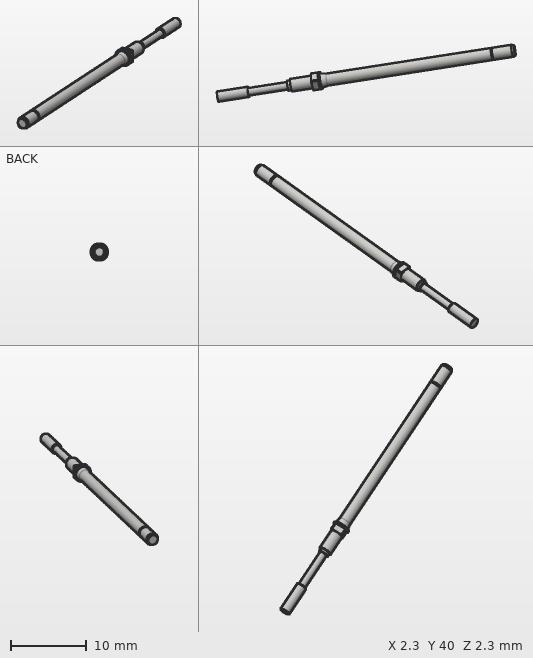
import cadquery as cq

length = 40.0

tip_dia = 1.4
neck_dia = 1.05
collar_dia = 1.35
body_dia = 1.7
flange_dia = 2.3
taper_dia = 1.9
tube_dia = 1.65
groove_dia = 1.55
tube_end_dia = 1.35

tip_end = 4.1
neck_end = 9.45
collar_end = 9.9
body_end = 12.7
square_end = 13.7
flange_end = 13.9
taper_end = 14.7
groove_start = 36.9
groove_width = 0.15
chamfer_start = 39.7

square_size = 1.7
corner_dia = 2.3


def round_section(start, end, start_dia, end_dia):
    """Cylinder or cone on the Y axis, placed by distances from the tip end."""
    y_start = length / 2 - start
    y_end = length / 2 - end
    profile = [(0, y_start), (start_dia / 2, y_start), (end_dia / 2, y_end), (0, y_end)]
    return cq.Workplane("XY").polyline(profile).close().revolve(360, (0, 0, 0), (0, 1, 0))


def square_section(start, end):
    """Square prism on the Y axis whose corners are turned to a round."""
    square = cq.Workplane("XY").box(square_size, end - start, square_size)
    square = square.translate((0, length / 2 - (start + end) / 2, 0))
    return square.intersect(round_section(start, end, corner_dia, corner_dia))


groove_end = groove_start + groove_width

round_sections = [
    (0, tip_end, tip_dia, tip_dia),
    (tip_end, neck_end, neck_dia, neck_dia),
    (neck_end, collar_end, collar_dia, collar_dia),
    (collar_end, body_end, body_dia, body_dia),
    (square_end, flange_end, flange_dia, flange_dia),
    (flange_end, taper_end, taper_dia, tube_dia),
    (taper_end, groove_start, tube_dia, tube_dia),
    (groove_start, groove_end, groove_dia, groove_dia),
    (groove_end, chamfer_start, tube_dia, tube_dia),
    (chamfer_start, length, tube_dia, tube_end_dia),
]

result = square_section(body_end, square_end)
for section in round_sections:
    result = result.union(round_section(*section))